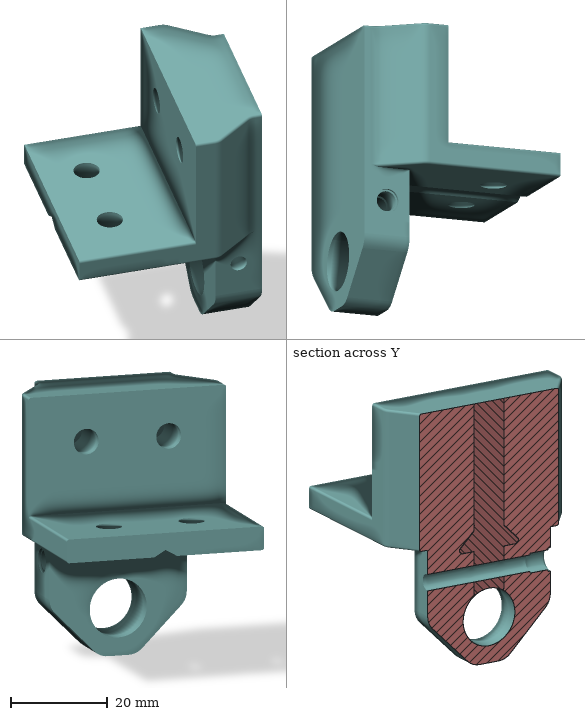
import cadquery as cq

width = 43.0
depth = 41.0
height = 57.0
half_width = width / 2

shelf_bottom = 27.0
shelf_thickness = 5.0
shelf_top = shelf_bottom + shelf_thickness
wall_depth = 16.0
wall_front = depth - wall_depth
side_rounding = 0.5

block_half_width = 14.95
taper_start = 30.05
taper_end = 38.6
taper_rounding = 2.55

block_depth = 10.0
block_front = depth - block_depth
block_middle = depth - block_depth / 2
slope_start = 10.95
foot_half_width = 4.0
slope_rounding = 4.15
bore_height = 10.05
bore_diameter = 12.4

mount_diameter = 5.4
mount_spacing = 17.95
wall_mount_height = 46.95
wall_mount_depth = wall_depth - shelf_thickness
shelf_mount_y = 10.0

screw_height = 20.0
screw_diameter = 3.5
seat_diameter = 4.2
seat_depth = 4.95
counterbore_diameter = 5.0
counterbore_depth = 0.5

key_half_width = 3.6
key_rounding = 0.5
notch_half_width = 2.5
notch_height = 1.4
point_height = shelf_bottom + notch_height
bevel_slope = notch_height / notch_half_width
shoulder_height = point_height + key_half_width * bevel_slope
tongue_bottom = 15.4
barb_half_width = 7.05
barb_bottom = 24.9
barb_tip_top = 25.8
barb_chamfer = 0.5
barb_top = barb_tip_top + barb_half_width - key_half_width

tolerance = 0.005
margin = 0.55


def prism_along_y(points, front, back):
    """Extrude an XZ outline from y = front to y = back."""
    return cq.Workplane("XZ", origin=(0, front, 0)).polyline(points).close().extrude(front - back)


def mirrored(points):
    """Close a right-hand outline with its mirror image about x = 0."""
    return points + [(-x, z) for x, z in reversed(points) if x > 0]


def make_bore():
    bore = cq.Workplane("XZ").center(0, bore_height).circle(bore_diameter / 2)
    return bore.extrude(-depth)


def make_screw_hole():
    """Stepped hole along X that enters through the -X side."""
    def drill(diameter, length):
        start = cq.Workplane("YZ", origin=(-block_half_width, block_middle, screw_height))
        return start.circle(diameter / 2).extrude(length)

    hole = drill(screw_diameter, 2 * block_half_width)
    hole = hole.union(drill(seat_diameter, seat_depth))
    return hole.union(drill(counterbore_diameter, counterbore_depth))


def make_wall():
    right_side = [
        (half_width, wall_front),
        (half_width, taper_start),
        (block_half_width, taper_end),
        (block_half_width, depth),
    ]
    outline = mirrored(right_side)
    wall = cq.Workplane("XY", origin=(0, 0, shelf_bottom)).polyline(outline).close()
    wall = wall.extrude(height - shelf_bottom)
    taper_corners = cq.selectors.BoxSelector(
        (-width, taper_start - margin, 0), (width, taper_end + margin, 2 * height)
    )
    return wall.edges("|Z").edges(taper_corners).fillet(taper_rounding)


def make_upper_bracket():
    """Wall and shelf with the top and bottom edges of their outer sides rounded."""
    shelf = cq.Workplane("XY").box(width, wall_front, shelf_thickness, centered=(True, False, False))
    upper = make_wall().union(shelf.translate((0, 0, shelf_bottom)))

    def is_outer_side_edge(edge):
        box = edge.BoundingBox()
        flat = box.zlen < tolerance
        runs_across = box.xlen > block_half_width
        on_step = abs(box.zmin - shelf_top) < tolerance
        return flat and not runs_across and not (on_step and box.ymin > wall_front - tolerance)

    outer_edges = [edge for edge in upper.edges().vals() if is_outer_side_edge(edge)]
    return upper.newObject(outer_edges).fillet(side_rounding)


def make_clamp_block():
    """Block with sloped lower corners, carried up into the wall so that the two merge."""
    right_side = [
        (foot_half_width, 0),
        (block_half_width, slope_start),
        (block_half_width, shelf_top),
    ]
    block = prism_along_y(mirrored(right_side), block_front, depth)
    slope_corners = cq.selectors.BoxSelector(
        (-width, 0, -margin), (width, 2 * depth, slope_start + margin)
    )
    return block.edges("|Y").edges(slope_corners).fillet(slope_rounding)


def make_mounting_holes():
    pair = [(-mount_spacing / 2, 0), (mount_spacing / 2, 0)]
    radius = mount_diameter / 2
    wall_start = cq.Workplane("XZ", origin=(0, wall_front, wall_mount_height))
    wall_holes = wall_start.pushPoints(pair).circle(radius).extrude(-wall_mount_depth)
    shelf_start = cq.Workplane("XY", origin=(0, shelf_mount_y, shelf_bottom))
    shelf_holes = shelf_start.pushPoints(pair).circle(radius).extrude(shelf_thickness)
    return wall_holes.union(shelf_holes)


def make_notch():
    """V-shaped notch under the shelf and wall, ahead of the clamp block."""
    right_side = [(0, point_height), (notch_half_width, shelf_bottom)]
    return prism_along_y(mirrored(right_side), 0, block_front)


def make_strip(top, front, back):
    """Length of the key with rounded shoulders and a pointed underside."""
    right_side = [(0, point_height), (key_half_width, shoulder_height), (key_half_width, top)]
    strip = prism_along_y(mirrored(right_side), front, back)
    shoulders = cq.selectors.BoxSelector(
        (-width, -margin, point_height + margin), (width, 2 * depth, 2 * height)
    )
    return strip.edges("|Y").edges(shoulders).fillet(key_rounding)


def make_tongue():
    """Barbed lower part of the key, reaching down to the bore."""
    stem = prism_along_y(
        mirrored([(key_half_width, tongue_bottom), (key_half_width, shoulder_height)]),
        block_front,
        depth,
    )
    stem = stem.edges("|Y and <Z").fillet(key_rounding)
    right_flank = [
        (barb_half_width - barb_chamfer, barb_bottom),
        (barb_half_width, barb_bottom + barb_chamfer),
        (barb_half_width, barb_tip_top),
        (key_half_width, barb_top),
    ]
    return stem.union(prism_along_y(mirrored(right_flank), block_front, depth))


def make_key():
    key = make_strip(shelf_top, 0, wall_front)
    key = key.union(make_strip(height, wall_front, depth))
    key = key.union(make_tongue())
    return key.cut(make_bore()).cut(make_screw_hole())


def make_bracket(key):
    bracket = make_upper_bracket().union(make_clamp_block())
    bracket = bracket.cut(make_notch()).cut(make_bore())
    bracket = bracket.cut(make_mounting_holes()).cut(make_screw_hole())
    return bracket.cut(key)


key = make_key()
bracket = make_bracket(key)

result = cq.Compound.makeCompound([bracket.solids().val(), key.solids().val()])